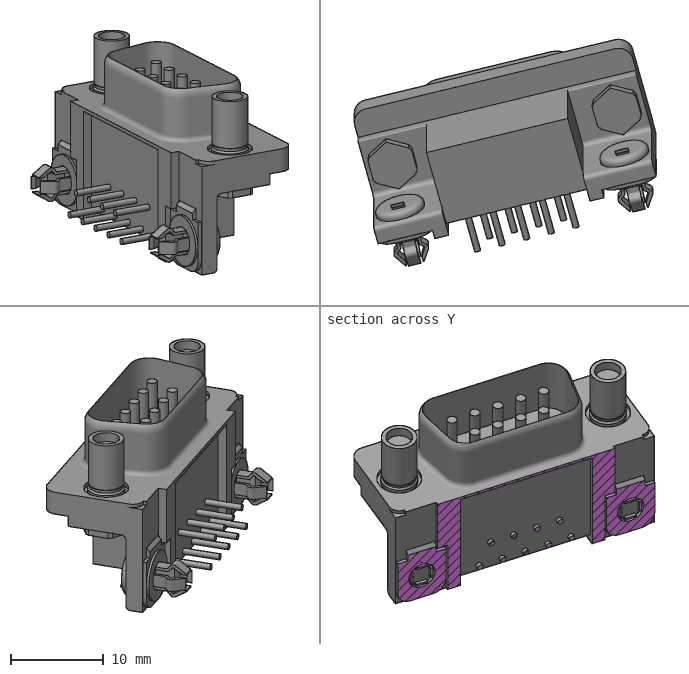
import cadquery as cq
import math


width = 31.05
half_depth = 6.27
flange_thickness = 2.6
flange_corner_radius = 1.6
ear_bottom = -3.82
body_back = 3.25
core_bottom = -11.65
core_half_width = 7.88
panel_recess = 1.0
leg_bottom = -12.7
leg_back = -3.38
leg_inner_fillet = 0.55
leg_bottom_fillet = 0.53
ear_edge_fillet = 0.15

plate_thickness = 0.4
plate_corner_radius = 1.25
plate_front_setback = 0.35

seat_depth = 0.95
seat_upper_inner_x = 10.65
seat_lower_inner_x = 9.45
seat_step_z = -6.35

shell_height = 5.9
shell_wall = 0.4
shell_half_depth = 4.6
shell_corner_radius = 2.5
shell_mean_half_straight = 6.0
shell_side_angle = 10.0
rim_round_height = 0.93
base_round = 0.53
shell_floor = -0.55

long_row_count = 5
short_row_count = 4
long_row_span = 11.0
contact_pitch = long_row_span / (long_row_count - 1)
contact_row_offset = 1.43
contact_radius = 0.55
contact_top = 4.6
tail_radius = 0.35
tail_end_y = -9.47
long_row_tail_z = -10.95
short_row_tail_z = -8.1

fixing_x = 12.5
screw_radius = 1.92
screw_neck_radius = 1.83
screw_foot_radius = 2.02
screw_shoulder_z = 0.55
screw_neck_bottom_z = 0.22
screw_hole_radius = 1.43
screw_hole_depth = 1.05
screw_recess_radius = 2.42
nut_radius = 2.82
nut_height = 0.95
nut_corner_chamfer = 0.28

lock_z = -9.5
bracket_thickness = 0.4
bracket_width = 5.85
bracket_top = -6.7
bracket_bottom = -12.63
bracket_corner_radius = 1.6
tab_width = 3.45
tab_top = -5.53
tab_bevel_height = 0.47
washer_radius = 2.82
washer_thickness = 0.28
washer_hole_radius = 1.55
rivet_radius = 2.7
rivet_height = 0.8
rivet_round = 0.6
prong_count = 4
prong_width = 1.4
prong_inner_radius = 1.02
prong_thickness = 0.3
prong_bend_y = -7.3
prong_bend_round = 0.25
prong_inner_bend_y = -7.48
prong_knee_radius = 2.08
prong_knee_y = -7.9
prong_knee_inner_radius = 1.55
prong_knee_round = 0.5
prong_tip_radius = 0.93
prong_tip_flat = 0.1
prong_tip_y = -9.53
prong_tip_inner_y = -8.97
hook_inner_radius = 0.35

embed = 0.15

half_width = width / 2
seat_y = -half_depth + seat_depth
bracket_front = seat_y - bracket_thickness
washer_front = bracket_front - washer_thickness
panel_y = -half_depth + panel_recess


def block(x, y, z):
    """Box between the given (low, high) pairs along X, Y and Z."""
    size = (x[1] - x[0], y[1] - y[0], z[1] - z[0])
    return cq.Workplane("XY").box(*size, centered=False).translate((x[0], y[0], z[0]))


def cylinder_z(radius, z, x=0.0, y=0.0):
    """Upright cylinder between the (low, high) pair z."""
    return cq.Workplane("XY", origin=(x, y, z[0])).circle(radius).extrude(z[1] - z[0])


def cylinder_y(radius, y, x, z):
    """Cylinder along Y between the (low, high) pair y."""
    return cq.Workplane("XZ", origin=(x, y[1], z)).circle(radius).extrude(y[1] - y[0])


def d_outline(corner_radius, z):
    """D outline parallel to XY at height z; all corner radii share the same four centres."""
    centre_y = shell_half_depth - shell_corner_radius
    lean = centre_y * math.tan(math.radians(shell_side_angle))
    top_x = shell_mean_half_straight + lean
    bottom_x = shell_mean_half_straight - lean
    centres = [(-top_x, centre_y), (top_x, centre_y), (bottom_x, -centre_y), (-bottom_x, -centre_y)]
    return cq.Workplane("XY", origin=(0, 0, z)).polyline(centres).close().offset2D(corner_radius)


def make_housing():
    """Flange, ears and legs as one angled block, opened in the middle for the contact core."""
    flange = block((-half_width, half_width), (-half_depth, half_depth), (-flange_thickness, 0))
    flange = flange.edges("|Z and >Y").fillet(flange_corner_radius)
    ears = block((-half_width, half_width), (-half_depth, body_back), (ear_bottom, -flange_thickness))
    legs = block((-half_width, half_width), (-half_depth, leg_back), (leg_bottom, ear_bottom))
    body = flange.union(ears).union(legs)
    inner_corner = cq.selectors.NearestToPointSelector((0, leg_back, ear_bottom))
    body = body.edges(inner_corner).fillet(leg_inner_fillet)
    bottom_edge = cq.selectors.NearestToPointSelector((0, leg_back, leg_bottom))
    body = body.edges(bottom_edge).fillet(leg_bottom_fillet)
    ear_edge = cq.selectors.NearestToPointSelector((0, body_back, ear_bottom))
    body = body.edges(ear_edge).fillet(ear_edge_fillet)

    core_x = (-core_half_width, core_half_width)
    body = body.cut(block(core_x, (-half_depth, body_back), (leg_bottom, -flange_thickness)))
    body = body.cut(block(core_x, (-half_depth, panel_y), (-flange_thickness, -plate_thickness)))
    return body.union(block(core_x, (panel_y, body_back), (core_bottom, -flange_thickness)))


def make_seat():
    """Space removed for the left bracket, with the rounded corner of the front plate above it."""
    y = (-half_depth, seat_y)
    upper = block((-half_width, -seat_upper_inner_x), y, (leg_bottom, 0))
    lower = block((-half_width, -seat_lower_inner_x), y, (leg_bottom, seat_step_z))
    arc_centre_x = -half_width + plate_corner_radius
    arc_centre_y = seat_y + plate_front_setback + plate_corner_radius
    corner = block((-half_width, arc_centre_x), (seat_y, arc_centre_y), (-plate_thickness, 0))
    rounding = cylinder_z(plate_corner_radius, (-plate_thickness, 0), arc_centre_x, arc_centre_y)
    return upper.union(lower).union(corner.cut(rounding))


def add_shell(body):
    """D shell with a flared root; its rounded rim ends where the rounding meets the inner wall."""
    rim_round = (rim_round_height**2 + shell_wall**2) / (2 * shell_wall)
    dome_height = shell_height - rim_round_height + rim_round
    dome = d_outline(shell_corner_radius, -plate_thickness).extrude(plate_thickness + dome_height)
    dome = dome.faces(">Z").edges().fillet(rim_round)
    body = body.union(dome)
    root_y = shell_half_depth + embed
    root = cq.selectors.BoxSelector((-fixing_x, -root_y, -embed), (fixing_x, root_y, embed))
    body = body.edges(root).fillet(base_round)
    return body.cut(d_outline(shell_corner_radius - shell_wall, shell_floor).extrude(dome_height - shell_floor))


def add_contacts(body):
    """Five-pin and four-pin rows, each pin with its own tail on the board side."""
    rows = [
        (long_row_count, contact_row_offset, long_row_tail_z),
        (short_row_count, -contact_row_offset, short_row_tail_z),
    ]
    for count, row_y, tail_z in rows:
        for index in range(count):
            x = (index - (count - 1) / 2) * contact_pitch
            body = body.union(cylinder_z(contact_radius, (shell_floor - embed, contact_top), x, row_y))
            body = body.union(cylinder_y(tail_radius, (tail_end_y, panel_y + embed), x, tail_z))
    return body


def make_jack_screw():
    """Turned screw on the Z axis with a blind hole in its top."""
    profile = [
        (0, -plate_thickness - embed),
        (screw_foot_radius, -plate_thickness - embed),
        (screw_foot_radius, 0),
        (screw_neck_radius, screw_neck_bottom_z),
        (screw_neck_radius, screw_shoulder_z),
        (screw_radius, screw_shoulder_z),
        (screw_radius, shell_height),
        (screw_hole_radius, shell_height),
        (screw_hole_radius, shell_height - screw_hole_depth),
        (0, shell_height - screw_hole_depth),
    ]
    return cq.Workplane("XZ").polyline(profile).close().revolve(360, (0, 0), (0, 1))


def make_nut():
    """Hex nut under the ear; its four off-axis corners are chamfered."""
    nut = cq.Workplane("XY", origin=(0, 0, ear_bottom)).polygon(6, 2 * nut_radius).extrude(-nut_height)
    nut = nut.edges("|Z").edges("<Y or >Y").chamfer(nut_corner_chamfer)
    return nut.rotate((0, 0, 0), (0, 0, 1), 90)


def make_prong():
    """Snap prong pointing along -Y, offset from the lock axis toward +X."""
    outer_radius = prong_inner_radius + prong_thickness
    profile = [
        (prong_inner_radius, seat_y + embed),
        (outer_radius, seat_y + embed),
        (outer_radius, prong_bend_y),
        (prong_knee_radius, prong_knee_y),
        (prong_tip_radius + prong_tip_flat, prong_tip_y),
        (prong_tip_radius, prong_tip_y),
        (prong_tip_radius, prong_tip_inner_y),
        (prong_knee_inner_radius, prong_knee_y),
        (prong_inner_radius, prong_inner_bend_y),
    ]
    prong = cq.Workplane("XY").polyline(profile).close().extrude(prong_width / 2, both=True)
    bend = cq.selectors.NearestToPointSelector((outer_radius, prong_bend_y, 0))
    return prong.edges(">X").fillet(prong_knee_round).edges("|Z").edges(bend).fillet(prong_bend_round)


def make_hook():
    """Strip end of the lower prong, bent down behind the rivet head."""
    centre_z = -prong_inner_radius - prong_thickness - hook_inner_radius
    rivet_back = leg_back + rivet_height
    outer_radius = hook_inner_radius + prong_thickness
    ring = cq.Workplane("YZ", origin=(-prong_width / 2, rivet_back, centre_z))
    ring = ring.circle(outer_radius).circle(hook_inner_radius).extrude(prong_width)
    quarter_y = (rivet_back - embed, rivet_back + outer_radius)
    quarter = block((-prong_width / 2, prong_width / 2), quarter_y, (centre_z, centre_z + outer_radius))
    return ring.intersect(quarter)


def make_board_lock():
    """Bracket plate, washer, prongs and rivet head around the Y axis."""
    half_plate = bracket_width / 2
    plate_y = (bracket_front, seat_y)
    plate = block((-half_plate, half_plate), plate_y, (bracket_bottom - lock_z, bracket_top - lock_z))
    plate = plate.edges("|Y and <Z").fillet(bracket_corner_radius)
    tab_height = tab_top - lock_z
    tab_side = [
        (seat_y, 0),
        (seat_y, tab_height),
        (bracket_front, tab_height - tab_bevel_height),
        (bracket_front, 0),
    ]
    tab = cq.Workplane("YZ").polyline(tab_side).close().extrude(tab_width / 2, both=True)
    washer = cylinder_y(washer_radius, (washer_front, bracket_front), 0, 0)
    lock = plate.union(tab).union(washer)
    lock = lock.cut(cylinder_y(washer_hole_radius, (washer_front, seat_y), 0, 0))
    prong = make_prong()
    for index in range(prong_count):
        lock = lock.union(prong.rotate((0, 0, 0), (0, 1, 0), index * 360 / prong_count))
    rivet = cylinder_y(rivet_radius, (leg_back, leg_back + rivet_height), 0, 0)
    rivet = rivet.faces(">Y").edges().fillet(rivet_round)
    return lock.union(rivet).union(make_hook())


def add_both_sides(body, part):
    """Join a part made for the left side, and its mirror image."""
    return body.union(part).union(part.mirror("YZ"))


seat = make_seat()
body = make_housing().cut(seat).cut(seat.mirror("YZ"))
body = add_shell(body)
body = add_contacts(body)
for x in (-fixing_x, fixing_x):
    body = body.cut(cylinder_z(screw_recess_radius, (-plate_thickness, 0), x))
body = add_both_sides(body, make_jack_screw().translate((-fixing_x, 0, 0)))
body = add_both_sides(body, make_nut().translate((-fixing_x, 0, 0)))
body = add_both_sides(body, make_board_lock().translate((-fixing_x, 0, lock_z)))
result = body